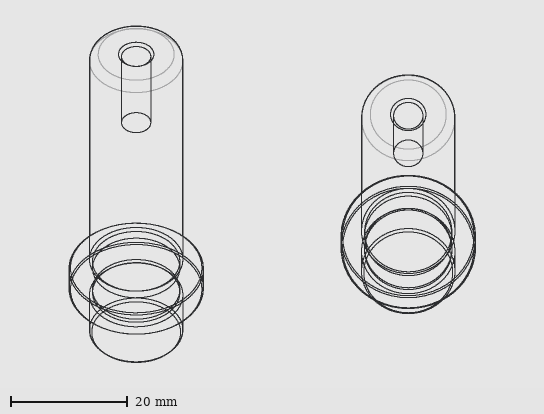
import cadquery as cq
import math

total_length = 65.0
pin_radius = 8.0
neck_radius = 7.5
flange_radius = 11.5

flange_bottom = 10.0
flange_thickness = 5.0
flange_top = flange_bottom + flange_thickness

lower_neck_length = 0.7
lower_taper_length = 0.6
upper_neck_length = 1.55
upper_taper_length = 0.45

bottom_chamfer_height = 0.5
bottom_chamfer_width = 0.4
flange_chamfer = 0.25
top_fillet = 1.5

hole_radius = 2.5
hole_depth = 16.0
hole_chamfer = 0.5
drill_point_angle = 118.0


def make_body():
    """Revolve the pin, its two reliefs and the flange about Z."""
    lower_neck_start = flange_bottom - lower_neck_length
    upper_neck_end = flange_top + upper_neck_length
    fillet_centre_radius = pin_radius - top_fillet
    fillet_centre_height = total_length - top_fillet
    fillet_offset = top_fillet * math.sqrt(0.5)
    profile = (
        cq.Workplane("XZ")
        .moveTo(0, 0)
        .lineTo(pin_radius - bottom_chamfer_width, 0)
        .lineTo(pin_radius, bottom_chamfer_height)
        .lineTo(pin_radius, lower_neck_start - lower_taper_length)
        .lineTo(neck_radius, lower_neck_start)
        .lineTo(neck_radius, flange_bottom)
        .lineTo(flange_radius - flange_chamfer, flange_bottom)
        .lineTo(flange_radius, flange_bottom + flange_chamfer)
        .lineTo(flange_radius, flange_top - flange_chamfer)
        .lineTo(flange_radius - flange_chamfer, flange_top)
        .lineTo(neck_radius, flange_top)
        .lineTo(neck_radius, upper_neck_end)
        .lineTo(pin_radius, upper_neck_end + upper_taper_length)
        .lineTo(pin_radius, fillet_centre_height)
        .threePointArc(
            (fillet_centre_radius + fillet_offset, fillet_centre_height + fillet_offset),
            (fillet_centre_radius, total_length),
        )
        .lineTo(0, total_length)
        .close()
    )
    return profile.revolve(360, (0, 0, 0), (0, 1, 0))


def make_hole():
    """Chamfered blind hole with a conical drill point."""
    hole_bottom = total_length - hole_depth
    point_depth = hole_radius / math.tan(math.radians(drill_point_angle / 2))
    profile = (
        cq.Workplane("XZ")
        .moveTo(0, total_length)
        .lineTo(hole_radius + hole_chamfer, total_length)
        .lineTo(hole_radius, total_length - hole_chamfer)
        .lineTo(hole_radius, hole_bottom)
        .lineTo(0, hole_bottom - point_depth)
        .close()
    )
    return profile.revolve(360, (0, 0, 0), (0, 1, 0))


result = make_body().cut(make_hole())